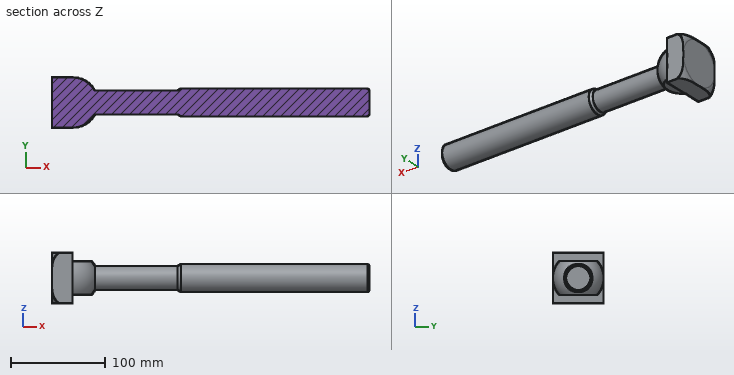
import cadquery as cq
import math

total_length = 337.0

head_width = 54.0
head_height = 22.0
head_rounding_radius = 11.7

neck_radius = head_width / 2
neck_thickness = 36.0

shank_diameter = 25.706
thread_diameter = 30.0
thread_length = 200.0
thread_depth = (thread_diameter - shank_diameter) / 2
thread_start_taper_angle = 30.0
thread_start_taper_length = thread_depth / math.tan(math.radians(thread_start_taper_angle))
thread_end_chamfer_length = thread_depth


def arc_depth(distance_past_tangency):
    """Depth below the head face of the corner rounding, at a radial distance past its start."""
    return head_rounding_radius - math.sqrt(head_rounding_radius**2 - distance_past_tangency**2)


def make_head():
    """Square head whose face corners are turned off to a rounding tangent to the face."""
    block = cq.Workplane("YZ").rect(head_width, head_width).extrude(head_height)
    face_radius = head_width / 2
    corner_radius = head_width / math.sqrt(2)
    corner_overhang = corner_radius - face_radius
    rounding_depth = arc_depth(corner_overhang)
    turned_envelope = (
        cq.Workplane("XY")
        .moveTo(0, 0)
        .lineTo(0, face_radius)
        .threePointArc(
            (arc_depth(corner_overhang / 2), face_radius + corner_overhang / 2),
            (rounding_depth, corner_radius),
        )
        .lineTo(head_height, corner_radius)
        .lineTo(head_height, 0)
        .close()
        .revolve(360, (0, 0, 0), (1, 0, 0))
    )
    return block.intersect(turned_envelope)


def make_neck():
    """Ball half centred on the back of the head, cut to the neck thickness."""
    ball = cq.Workplane("XY").sphere(neck_radius).translate((head_height, 0, 0))
    slab = (
        cq.Workplane("XY")
        .box(neck_radius, 2 * neck_radius, neck_thickness, centered=(False, True, True))
        .translate((head_height, 0, 0))
    )
    return ball.intersect(slab)


def make_shank():
    """Plain shank leading through a short taper into the larger thread diameter."""
    shank_radius = shank_diameter / 2
    thread_radius = thread_diameter / 2
    thread_start = total_length - thread_length
    return (
        cq.Workplane("XY")
        .moveTo(head_height, 0)
        .lineTo(head_height, shank_radius)
        .lineTo(thread_start - thread_start_taper_length, shank_radius)
        .lineTo(thread_start, thread_radius)
        .lineTo(total_length - thread_end_chamfer_length, thread_radius)
        .lineTo(total_length, shank_radius)
        .lineTo(total_length, 0)
        .close()
        .revolve(360, (0, 0, 0), (1, 0, 0))
    )


result = make_head().union(make_neck()).union(make_shank())